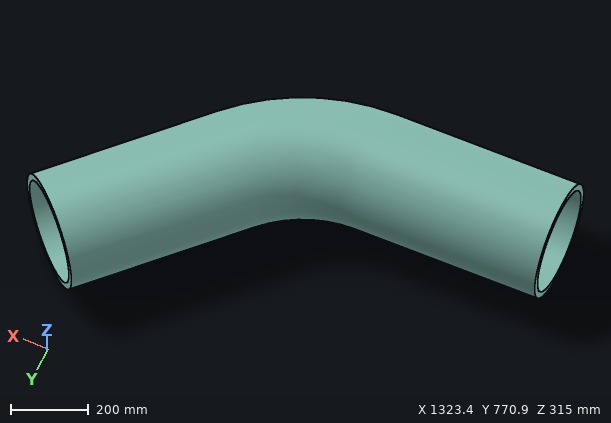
import cadquery as cq
import math

outer_diameter = 315.0
inner_diameter = 277.6
bend_angle = 45.0
centre_to_end = 710.0
bend_radius = 473.0

tangent_length = bend_radius * math.tan(math.radians(bend_angle / 2))
leg_length = centre_to_end - tangent_length


def pipe_wall():
    """Ring-shaped cross-section at the inlet, in the YZ plane and centred on the X axis."""
    return cq.Workplane("YZ").circle(outer_diameter / 2).circle(inner_diameter / 2)


def straight_leg():
    """Straight pipe along +X, starting at the origin."""
    return pipe_wall().extrude(leg_length)


def elbow():
    """Bend that leaves the origin along +X and turns towards +Y."""
    return pipe_wall().revolve(bend_angle, (bend_radius, 0, 0), (bend_radius, 1, 0))


def outlet_leg():
    """Straight pipe carried round the bend axis to continue from the elbow's far end."""
    bend_axis_start = (0, bend_radius, 0)
    bend_axis_end = (0, bend_radius, 1)
    return straight_leg().rotate(bend_axis_start, bend_axis_end, bend_angle)


inlet_leg = straight_leg().translate((-leg_length, 0, 0))
pipe = inlet_leg.union(elbow()).union(outlet_leg())

result = pipe.translate((leg_length, 0, 0))